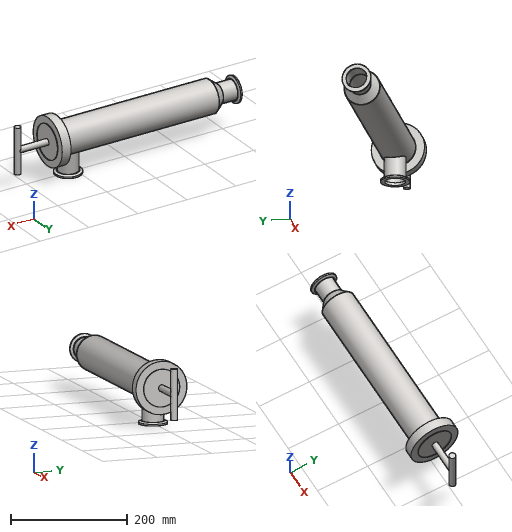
import cadquery as cq

total_length = 448.5
wall = 1.1

pipe_diameter = 38.0
ferrule_diameter = 50.5
ferrule_hub_diameter = 41.3
ferrule_rim = 3.0
ferrule_length = 5.5

neck_end = 34.0
cone_end = 50.5
body_diameter = 63.5

flange_start = 363.0
flange_end = 381.0
flange_diameter = 93.5
raised_face_diameter = 66.5
raised_face_height = 1.5

outlet_x = 339.5
outlet_drop = 116.5 - flange_diameter / 2

handle_diameter = 12.0
handle_bar_length = 89.5
handle_x = total_length - handle_diameter / 2

pipe_radius = pipe_diameter / 2
bore_radius = pipe_radius - wall
body_radius = body_diameter / 2
cavity_radius = body_radius - wall


def cylinder_along_x(diameter, start, end):
    return cq.Workplane("YZ", origin=(start, 0, 0)).circle(diameter / 2).extrude(end - start)


def make_ferruled_pipe(length):
    """Solid pipe pointing up Z, with its ferrule face at Z = 0."""
    profile = [
        (0, 0),
        (ferrule_diameter / 2, 0),
        (ferrule_diameter / 2, ferrule_rim),
        (ferrule_hub_diameter / 2, ferrule_length),
        (pipe_radius, ferrule_length),
        (pipe_radius, length),
        (0, length),
    ]
    return cq.Workplane("XZ").polyline(profile).close().revolve(360, (0, 0, 0), (0, 1, 0))


def make_body():
    """Cone and straight tube up to the flange, as a solid."""
    profile = [
        (neck_end, 0),
        (neck_end, pipe_radius),
        (cone_end, body_radius),
        (flange_start, body_radius),
        (flange_start, 0),
    ]
    return cq.Workplane("XZ").polyline(profile).close().revolve(360, (0, 0, 0), (1, 0, 0))


def make_cavity():
    """Flow space from the inlet face to the closed flange."""
    profile = [
        (0, 0),
        (0, bore_radius),
        (neck_end, bore_radius),
        (cone_end, cavity_radius),
        (flange_start, cavity_radius),
        (flange_start, 0),
    ]
    return cq.Workplane("XZ").polyline(profile).close().revolve(360, (0, 0, 0), (1, 0, 0))


def make_handle():
    stem = cylinder_along_x(handle_diameter, flange_end, handle_x)
    bar = (
        cq.Workplane("XY", origin=(handle_x, 0, -handle_bar_length / 2))
        .circle(handle_diameter / 2)
        .extrude(handle_bar_length)
    )
    return stem.union(bar)


inlet = make_ferruled_pipe(neck_end).rotate((0, 0, 0), (0, 1, 0), 90)
outlet = make_ferruled_pipe(outlet_drop).translate((outlet_x, 0, -outlet_drop))
outlet_bore = (
    cq.Workplane("XY", origin=(outlet_x, 0, -outlet_drop)).circle(bore_radius).extrude(outlet_drop)
)
flange = cylinder_along_x(flange_diameter, flange_start, flange_end)
raised_face = cylinder_along_x(raised_face_diameter, flange_end, flange_end + raised_face_height)

shell = make_body().union(inlet).union(outlet).cut(make_cavity()).cut(outlet_bore)
result = shell.union(flange).union(raised_face).union(make_handle())